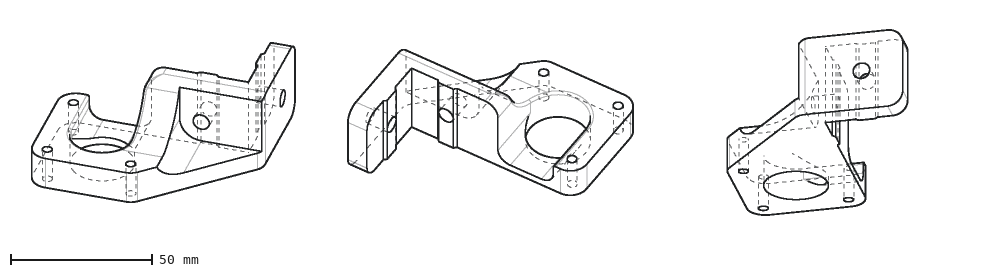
import cadquery as cq
import math

plate_height = 12.5
plate_depth = 43.0
plate_corner_radius = 6.75
motor_x = 21.25
motor_y = 21.25
pilot_radius = 23.0 / 2
screw_diameter = 3.5
screw_spacing = 31.0
screw_offset = screw_spacing / 2

wall_height = 30.0
wall_thickness = 8.0
total_length = 76.75
total_depth = 73.0
wall_front_y = plate_depth - wall_thickness
arm_left_x = total_length - wall_thickness
edge_radius = 5.5
ramp_radius = 22.0
ramp_foot_y = 13.4

gusset_start_x = 39.0

groove_floor = 3.0
groove_corner_radius = 5.0
groove_lip_radius = 1.0

bolt_diameter = 6.0
bolt_inset = 15.0
bolt_z = wall_height / 2
bolt_x = arm_left_x - bolt_inset
bolt_y = plate_depth + bolt_inset
recess_radius = 8.0
ridge_height = 1.0
ridge_base_width = 8.0

overshoot = 1.0


def box(x_range, y_range, z_range):
    """Box spanning the given (low, high) ranges."""
    size = [high - low for low, high in (x_range, y_range, z_range)]
    corner = (x_range[0], y_range[0], z_range[0])
    return cq.Workplane("XY").box(*size, centered=False).translate(corner)


def make_footprint(height):
    """Plate and gusset outline, without the arm, raised to the given height."""
    outline = [
        (0, 0),
        (gusset_start_x, 0),
        (total_length, wall_front_y),
        (total_length, plate_depth),
        (0, plate_depth),
    ]
    body = cq.Workplane("XY").polyline(outline).close().extrude(height)
    body = body.edges("|Z and <X").fillet(plate_corner_radius)
    gusset_corners = cq.selectors.BoxSelector(
        (gusset_start_x - overshoot, -overshoot, 0),
        (total_length + overshoot, wall_front_y + overshoot, height),
    )
    return body.edges("|Z").edges(gusset_corners).fillet(edge_radius)


def make_ramped_wall():
    """Back wall whose front sweeps down to the plate in a concave arc."""
    ramp_center_z = plate_height + ramp_radius
    crest_y = ramp_foot_y + math.sqrt(ramp_radius**2 - (ramp_center_z - wall_height) ** 2)
    arc_angle = math.atan2(wall_height - ramp_center_z, crest_y - ramp_foot_y)
    middle_angle = (arc_angle - math.pi / 2) / 2
    arc_middle = (
        ramp_foot_y + ramp_radius * math.cos(middle_angle),
        ramp_center_z + ramp_radius * math.sin(middle_angle),
    )
    wall = (
        cq.Workplane("YZ", origin=(motor_x, 0, 0))
        .moveTo(ramp_foot_y, 0)
        .lineTo(ramp_foot_y, plate_height)
        .threePointArc(arc_middle, (crest_y, wall_height))
        .lineTo(plate_depth, wall_height)
        .lineTo(plate_depth, 0)
        .close()
        .extrude(total_length - motor_x)
    )
    return wall.intersect(make_footprint(wall_height))


def make_groove_cutter():
    """Round-bottomed channel, as wide as the pilot hole, open above and behind."""
    channel = box(
        (motor_x - pilot_radius, motor_x + pilot_radius),
        (motor_y, plate_depth + overshoot),
        (groove_floor, wall_height + overshoot),
    )
    channel = channel.edges("|Y and <Z").fillet(groove_corner_radius)
    pilot = cq.Workplane("XY").center(motor_x, motor_y).circle(pilot_radius)
    return channel.union(pilot.extrude(wall_height + overshoot))


def make_recess_cutter():
    """Clearance in front of the wall, rounded about the bolt axis."""
    left = bolt_x - recess_radius
    bottom = bolt_z - recess_radius
    recess = box(
        (left, total_length + overshoot),
        (-overshoot, wall_front_y),
        (bottom, wall_height + overshoot),
    )
    return recess.edges("|Y and <X and <Z").fillet(recess_radius)


def make_arm():
    """Wall along Y, starting behind the back wall, with its two free corners rounded."""
    arm = box((arm_left_x, total_length), (plate_depth, total_depth), (0, wall_height))
    return arm.edges("|X and >Y").fillet(edge_radius)


def make_ridge(base_x, base_y, turn):
    """Full-height ridge centred on its base; it points toward +Y, then turns about Z."""
    half_base = ridge_base_width / 2
    half_top = half_base - ridge_height
    outline = [(-half_base, 0), (half_base, 0), (half_top, ridge_height), (-half_top, ridge_height)]
    ridge = cq.Workplane("XY").polyline(outline).close().extrude(wall_height)
    return ridge.rotate((0, 0, 0), (0, 0, 1), turn).translate((base_x, base_y, 0))


def make_bolt_cutters():
    """Horizontal bolt holes, one through each mounting wall and its ridge."""
    along_y = cq.Workplane("XZ").center(bolt_x, bolt_z).circle(bolt_diameter / 2)
    along_x = cq.Workplane("YZ").center(bolt_y, bolt_z).circle(bolt_diameter / 2)
    return along_y.extrude(-total_depth).union(along_x.extrude(total_length + overshoot))


def make_screw_cutters():
    """Motor screw holes at the three free corners of the square pattern."""
    centers = [
        (motor_x - screw_offset, motor_y - screw_offset),
        (motor_x + screw_offset, motor_y - screw_offset),
        (motor_x - screw_offset, motor_y + screw_offset),
    ]
    return cq.Workplane("XY").pushPoints(centers).circle(screw_diameter / 2).extrude(wall_height)


def round_wall_top(body):
    """Round the left and front top edges of the back wall."""
    top_edges = cq.selectors.BoxSelector(
        (motor_x, motor_y, wall_height - overshoot),
        (total_length - overshoot, plate_depth - overshoot, wall_height + overshoot),
    )
    return body.edges(top_edges).fillet(edge_radius)


def round_groove_lip(body):
    """Round the upper rim that runs along the groove, round the pilot hole and up the ramp."""
    rim_point = (motor_x - pilot_radius, (motor_y + plate_depth) / 2, plate_height)
    rim = cq.selectors.NearestToPointSelector(rim_point)
    return body.edges(rim).fillet(groove_lip_radius)


bracket = make_footprint(plate_height).union(make_ramped_wall())
bracket = bracket.cut(make_groove_cutter())
bracket = round_groove_lip(round_wall_top(bracket))
bracket = bracket.cut(make_recess_cutter())
bracket = bracket.union(make_arm())
bracket = bracket.union(make_ridge(bolt_x, plate_depth, 0))
bracket = bracket.union(make_ridge(arm_left_x, bolt_y, 90))
bracket = bracket.cut(make_bolt_cutters()).cut(make_screw_cutters())

result = bracket